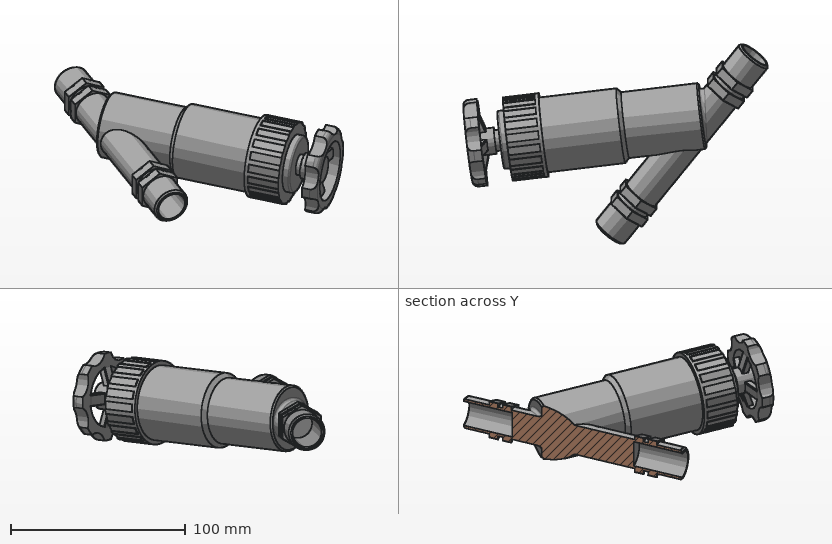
import cadquery as cq
import math

pipe_length = 135.0
pipe_diameter = 20.95
pipe_end_chamfer = 1.1
bore_diameter = 16.76
bore_depth = 30.0

nut_across_flats = 22.22
nut_thickness = 5.5
nut_inset = 15.8
nut_pitch = 8.2

body_tilt = 45.0
axis_crossing_x = 45.92
body_start = 1.47
lower_body_diameter = 38.14
lower_body_chamfer = 1.0
upper_body_start = 48.7
upper_body_diameter = 43.22
joint_fillet = 1.75

collar_start = 93.1
collar_end = 113.7
collar_diameter = 48.31
collar_rim_length = 2.1
groove_count = 20
groove_width = 4.6
groove_depth = 0.6
cover_diameter = 33.56
cover_thickness = 4.2
cover_rounding = 1.0

stem_diameter = 12.2
hub_diameter = 15.26
hub_start = 121.0
hub_end = 133.0
wheel_diameter = 50.81
wheel_start = 128.6
wheel_end = 136.7
wheel_rounding = 3.5
rim_inner_diameter = 34.8
spoke_count = 4
spoke_width = 6.8
spoke_edge_chamfer = 0.5
spoke_root = 125.6
spoke_thickness = 3.8
lobe_count = 8
lobe_width = 6.6
scallop_radius = 9.5

tilt = math.radians(body_tilt)
body_plane = cq.Plane(
    origin=(axis_crossing_x, 0, 0),
    xDir=(0, 0, 1),
    normal=(math.cos(tilt), math.sin(tilt), 0),
)


def disc(start, end, diameter):
    """Cylinder on the local Z axis between two stations."""
    return cq.Workplane("XY").workplane(offset=start).circle(diameter / 2).extrude(end - start)


def place(shape):
    """Move a shape built on the local Z axis onto the inclined body axis."""
    return cq.Workplane("XY").newObject([shape.val().moved(cq.Location(body_plane))])


def make_pipe():
    return (
        cq.Workplane("YZ")
        .circle(pipe_diameter / 2)
        .extrude(pipe_length)
        .faces("<X or >X")
        .chamfer(pipe_end_chamfer)
    )


def make_nut(start):
    """Hexagonal nut with two corners on the vertical through the pipe axis."""
    across_corners = nut_across_flats / math.cos(math.pi / 6)
    return (
        cq.Workplane("YZ")
        .workplane(offset=start)
        .transformed(rotate=(0, 0, 90))
        .polygon(6, across_corners)
        .extrude(nut_thickness)
    )


def make_nuts():
    first = nut_inset
    second = nut_inset + nut_pitch
    nuts = make_nut(first).union(make_nut(second))
    for start in (first, second):
        nuts = nuts.union(make_nut(pipe_length - start - nut_thickness))
    return nuts


def make_bores():
    left = cq.Workplane("YZ").circle(bore_diameter / 2).extrude(bore_depth)
    return left.union(left.translate((pipe_length - bore_depth, 0, 0)))


def make_body():
    """Stepped body that widens over a 45 degree cone."""
    lower_radius = lower_body_diameter / 2
    upper_radius = upper_body_diameter / 2
    return (
        cq.Workplane("XZ")
        .moveTo(0, body_start)
        .lineTo(lower_radius - lower_body_chamfer, body_start)
        .lineTo(lower_radius, body_start + lower_body_chamfer)
        .lineTo(lower_radius, upper_body_start - (upper_radius - lower_radius))
        .lineTo(upper_radius, upper_body_start)
        .lineTo(upper_radius, collar_end)
        .lineTo(0, collar_end)
        .close()
        .revolve(360, (0, 0, 0), (0, 1, 0))
    )


def make_collar():
    collar = disc(collar_start, collar_end, collar_diameter)
    groove_start = collar_start + collar_rim_length
    groove_length = collar_end - groove_start
    slots = (
        cq.Workplane("XY")
        .workplane(offset=groove_start)
        .polarArray(collar_diameter / 2, 0, 360, groove_count)
        .rect(2 * groove_depth, groove_width)
        .extrude(groove_length)
    )
    return collar.cut(slots)


def make_cover():
    return (
        disc(collar_end, collar_end + cover_thickness, cover_diameter)
        .faces(">Z")
        .edges()
        .fillet(cover_rounding)
    )


def make_rim():
    """Ring with a rounded outer front edge and scallops that leave lobes."""
    rim = disc(wheel_start, wheel_end, wheel_diameter).faces(">Z").edges().fillet(wheel_rounding)
    rim = rim.cut(disc(wheel_start, wheel_end, rim_inner_diameter))
    radius = wheel_diameter / 2
    lobe_half_angle = math.asin(lobe_width / 2 / radius)
    gap_half_angle = math.pi / lobe_count - lobe_half_angle
    half_chord = radius * math.sin(gap_half_angle)
    scallop_centre = radius * math.cos(gap_half_angle) + math.sqrt(scallop_radius**2 - half_chord**2)
    scallops = (
        cq.Workplane("XY")
        .workplane(offset=wheel_start)
        .polarArray(scallop_centre, 180 / lobe_count, 360, lobe_count)
        .circle(scallop_radius)
        .extrude(wheel_end - wheel_start)
    )
    return rim.cut(scallops)


def make_spoke():
    """Spoke along local X, sloping from the rim back to the hub at constant thickness.

    Its two rear edges are chamfered.
    """
    hub_radius = hub_diameter / 2
    rim_radius = rim_inner_diameter / 2
    slope = (wheel_start - spoke_root) / (rim_radius - hub_radius)
    inner_station = spoke_root - slope * hub_radius
    return (
        cq.Workplane("XZ")
        .moveTo(0, inner_station + spoke_thickness)
        .lineTo(0, inner_station)
        .lineTo(rim_radius, wheel_start)
        .lineTo(rim_radius, wheel_start + spoke_thickness)
        .close()
        .extrude(spoke_width / 2, both=True)
        .edges("not (|Y or |Z)")
        .edges("<Z")
        .chamfer(spoke_edge_chamfer)
    )


def make_handwheel():
    wheel = disc(hub_start, hub_end, hub_diameter).union(make_rim())
    spoke = make_spoke()
    for index in range(spoke_count):
        wheel = wheel.union(spoke.rotate((0, 0, 0), (0, 0, 1), index * 360 / spoke_count))
    return wheel


housing = make_pipe().union(place(make_body()))
housing = housing.edges("%ELLIPSE").fillet(joint_fillet)

stem = disc(collar_end, hub_start, stem_diameter)
top_works = make_collar().union(make_cover()).union(stem).union(make_handwheel())

result = housing.union(place(top_works)).union(make_nuts()).cut(make_bores())